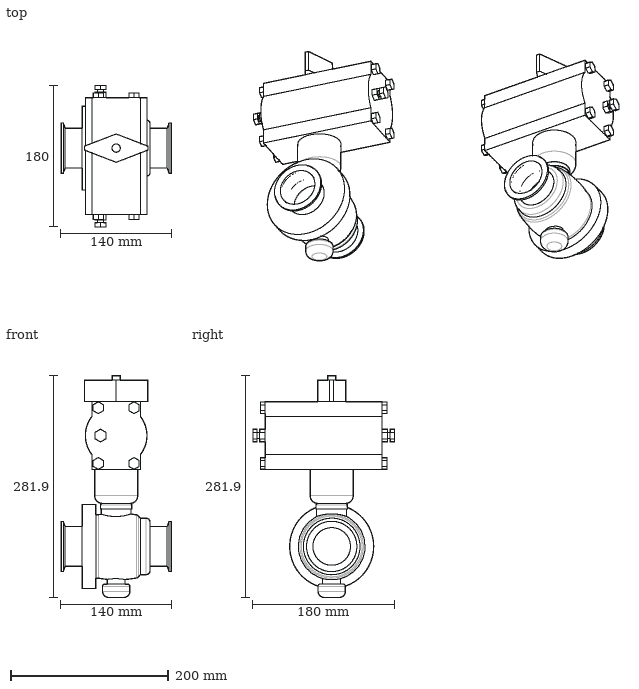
import cadquery as cq
import math


valve_length = 140.0
ferrule_dia = 64.0
ferrule_rim = 2.85
ferrule_taper = 2.4
tube_dia = 50.8
bore_dia = 47.8

flange_dia = 107.0
flange_thickness = 17.5
body_half_length = 43.3
shell_dia = 81.0
shell_bulge_start = -22.5
shell_bulge_end = 25.8
shell_bulge_end_dia = 80.6
shell_bulge_height = 2.0
collar_dia = 72.0
collar_start = 31.0
collar_chamfer = 2.6
collar_fillet = 5.5

neck_dia = 38.0
ring_dia = 40.0
ring_bottom = 47.6
ring_top = 54.5
ring_fillet = 2.0

trunnion_dia = 23.0
cap_dia = 35.0
cap_top = -47.8
cap_bottom = -65.0
cap_top_fillet = 3.0
cap_bottom_fillet = 8.0

bonnet_dia = 55.0
bonnet_fillet = 10.0
housing_width = 62.0
housing_height = 86.5
housing_length = 148.6
housing_bottom = 97.6
housing_center_y = -10.2
cylinder_dia = 78.6
housing_mid_z = housing_bottom + housing_height / 2
housing_top = housing_bottom + housing_height

corner_bolt_flats = 13.0
corner_bolt_height = 6.2
corner_bolt_x = 22.7
corner_bolt_z = 35.4
stop_flats = 14.0
stop_x = -19.9
stop_nut_height = 6.9
stop_tip_span = 180.0
stop_reach = (stop_tip_span - housing_length) / 2
stop_head_height = 5.6
stop_stud_dia = 8.0

indicator_length = 80.6
indicator_width = 36.0
indicator_tip_width = 5.0
indicator_height = 27.1
pin_dia = 10.5
pin_height = 5.7


def upright_cylinder(diameter, bottom, top):
    return cq.Workplane("XY").workplane(offset=bottom).circle(diameter / 2).extrude(top - bottom)


def tube_end():
    """Tube with a ferrule on the +X side, starting at the stem axis."""
    end = valve_length / 2
    rim_start = end - ferrule_rim
    return (
        cq.Workplane("XY")
        .moveTo(0, 0)
        .lineTo(0, tube_dia / 2)
        .lineTo(rim_start - ferrule_taper, tube_dia / 2)
        .lineTo(rim_start, ferrule_dia / 2)
        .lineTo(end, ferrule_dia / 2)
        .lineTo(end, 0)
        .close()
        .revolve(360, (0, 0, 0), (1, 0, 0))
    )


def body_shell():
    """Flange, bulged shell and end collar, turned about the pipe axis."""
    flange_back = flange_thickness - body_half_length
    bulge_middle = (shell_bulge_start + shell_bulge_end) / 2
    collar_radius = collar_dia / 2
    shoulder_x = collar_start - collar_chamfer
    return (
        cq.Workplane("XY")
        .moveTo(-body_half_length, 0)
        .lineTo(-body_half_length, flange_dia / 2)
        .lineTo(flange_back, flange_dia / 2)
        .lineTo(flange_back, shell_dia / 2)
        .lineTo(shell_bulge_start, shell_dia / 2)
        .threePointArc(
            (bulge_middle, shell_dia / 2 + shell_bulge_height),
            (shell_bulge_end, shell_bulge_end_dia / 2),
        )
        .tangentArcPoint((shoulder_x, collar_radius + collar_chamfer), relative=False)
        .lineTo(collar_start, collar_radius)
        .lineTo(body_half_length - collar_fillet, collar_radius)
        .tangentArcPoint((body_half_length, collar_radius - collar_fillet), relative=False)
        .lineTo(body_half_length, 0)
        .close()
        .revolve(360, (0, 0, 0), (1, 0, 0))
    )


def top_neck():
    ring = upright_cylinder(ring_dia, ring_bottom, ring_top).faces(">Z").edges().fillet(ring_fillet)
    return upright_cylinder(neck_dia, 0, ring_bottom).union(ring)


def bottom_cap():
    cap = upright_cylinder(cap_dia, cap_bottom, cap_top)
    cap = cap.faces(">Z").edges().fillet(cap_top_fillet)
    cap = cap.faces("<Z").edges().fillet(cap_bottom_fillet)
    return upright_cylinder(trunnion_dia, cap_top, 0).union(cap)


def blind_bore():
    """Bore on the +X side, from the ferrule face to the closed ball."""
    bore_floor = body_half_length - flange_thickness
    bore_depth = valve_length / 2 - bore_floor
    return cq.Workplane("YZ").workplane(offset=bore_floor).circle(bore_dia / 2).extrude(bore_depth)


def build_valve():
    body = body_shell().union(top_neck()).union(bottom_cap())
    for feature in (tube_end(), tube_end().mirror("YZ")):
        body = body.union(feature)
    for bore in (blind_bore(), blind_bore().mirror("YZ")):
        body = body.cut(bore)
    return body


def end_plane(distance):
    """Plane parallel to XZ at the given distance outside the -Y end face of the housing."""
    y = housing_center_y - housing_length / 2 - distance
    return cq.Workplane(cq.Plane((0, y, housing_mid_z), (1, 0, 0), (0, -1, 0)))


def hexagon(flats, x, z, start, height):
    """Hexagonal prism pointing to -Y with two corners on its vertical centre line."""
    corner_radius = flats / math.sqrt(3)
    corners = []
    for i in range(6):
        angle = math.radians(30 + 60 * i)
        corners.append((x + corner_radius * math.cos(angle), z + corner_radius * math.sin(angle)))
    return end_plane(start).polyline(corners).close().extrude(height)


def end_fasteners():
    """Four corner bolts and one stop screw with its lock nut, on the -Y end face."""
    stop_nut = hexagon(stop_flats, stop_x, 0, 0, stop_nut_height)
    stop_head = hexagon(stop_flats, stop_x, 0, stop_reach - stop_head_height, stop_head_height)
    stud = end_plane(0).center(stop_x, 0).circle(stop_stud_dia / 2).extrude(stop_reach)
    fasteners = stop_nut.union(stud).union(stop_head)
    for x in (-corner_bolt_x, corner_bolt_x):
        for z in (-corner_bolt_z, corner_bolt_z):
            fasteners = fasteners.union(hexagon(corner_bolt_flats, x, z, 0, corner_bolt_height))
    return fasteners


def housing():
    """Rectangular block with the piston cylinder bulging out at both sides."""
    block = end_plane(0).rect(housing_width, housing_height).extrude(-housing_length)
    cylinder = end_plane(0).circle(cylinder_dia / 2).extrude(-housing_length)
    return block.union(cylinder)


def indicator():
    """Lozenge with blunt tips and a short pin on top."""
    half_length = indicator_length / 2
    half_width = indicator_width / 2
    half_tip = indicator_tip_width / 2
    outline = [
        (-half_length, -half_tip),
        (0, -half_width),
        (half_length, -half_tip),
        (half_length, half_tip),
        (0, half_width),
        (-half_length, half_tip),
    ]
    indicator_top = housing_top + indicator_height
    lozenge = cq.Workplane("XY").workplane(offset=housing_top).polyline(outline).close()
    pin = upright_cylinder(pin_dia, indicator_top, indicator_top + pin_height)
    return lozenge.extrude(indicator_height).union(pin)


def build_actuator():
    bonnet = upright_cylinder(bonnet_dia, ring_top, housing_bottom).faces("<Z").edges().fillet(bonnet_fillet)
    fasteners = end_fasteners()
    far_fasteners = fasteners.mirror("XZ", (0, housing_center_y, 0))
    return housing().union(bonnet).union(indicator()).union(fasteners).union(far_fasteners)


valve = build_valve()
actuator = build_actuator()

result = cq.Compound.makeCompound([valve.val(), actuator.val()])